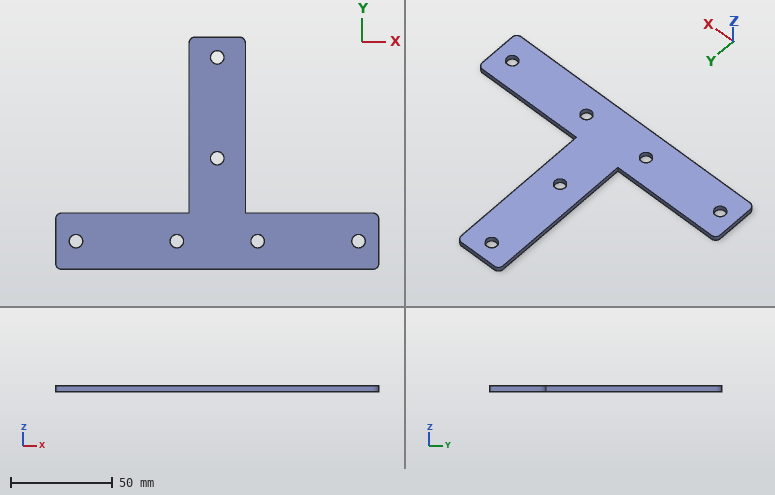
import cadquery as cq

bar_length = 160.0
total_depth = 115.0
arm_width = 28.0
thickness = 3.0
corner_radius = 3.0
hole_diameter = 6.5
hole_end_inset = 10.0
hole_spacing = 50.0


def make_plate():
    """T-shaped plate, centred on X, with the crossbar along Y = 0."""
    crossbar = cq.Workplane("XY").box(
        bar_length, arm_width, thickness, centered=(True, False, False)
    )
    stem = cq.Workplane("XY").box(
        arm_width, total_depth, thickness, centered=(True, False, False)
    )
    return crossbar.union(stem).clean()


def round_outer_corners(plate):
    """Round the outer corners; the inside corners of the T stay sharp."""
    end_corners = plate.edges("|Z").edges("<X or >X or >Y")
    return end_corners.fillet(corner_radius)


def hole_centers():
    """Two hole centres on each of the three arms."""
    centers = []
    for end_distance in (hole_end_inset, hole_end_inset + hole_spacing):
        bar_hole_x = bar_length / 2 - end_distance
        centers.append((-bar_hole_x, arm_width / 2))
        centers.append((bar_hole_x, arm_width / 2))
        centers.append((0, total_depth - end_distance))
    return centers


def make_holes():
    """Cylinders that cut the through holes."""
    return (
        cq.Workplane("XY")
        .pushPoints(hole_centers())
        .circle(hole_diameter / 2)
        .extrude(thickness)
    )


result = round_outer_corners(make_plate()).cut(make_holes())